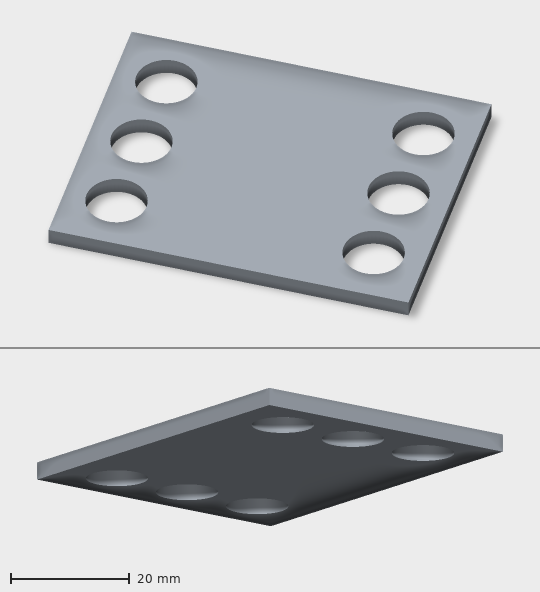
import cadquery as cq

plate_length = 63.0
plate_width = 50.0
plate_thickness = 3.0

hole_diameter = 10.5
hole_columns = 2
hole_rows = 3
column_spacing = 45.0
row_spacing = 15.0


def make_plate():
    """Flat rectangular plate centred on the origin."""
    return cq.Workplane("XY").box(plate_length, plate_width, plate_thickness)


def drill_holes(plate):
    """Drill the grid of holes through the full plate thickness."""
    return (
        plate.faces(">Z")
        .workplane()
        .rarray(column_spacing, row_spacing, hole_columns, hole_rows)
        .hole(hole_diameter)
    )


result = drill_holes(make_plate())